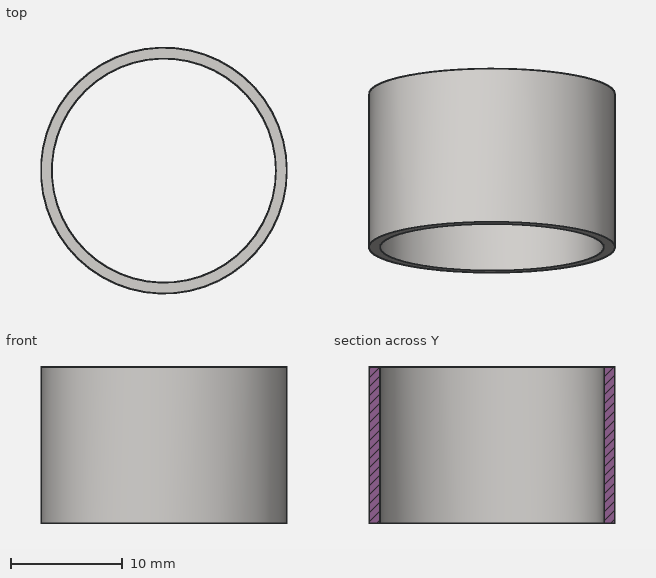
import cadquery as cq

outer_diameter = 22.0
wall_thickness = 1.0
height = 14.0

outer_radius = outer_diameter / 2
inner_radius = outer_radius - wall_thickness


def sleeve():
    """Ring between the outer and inner circles, extruded to full height."""
    return (
        cq.Workplane("XY")
        .circle(outer_radius)
        .circle(inner_radius)
        .extrude(height)
    )


result = sleeve()